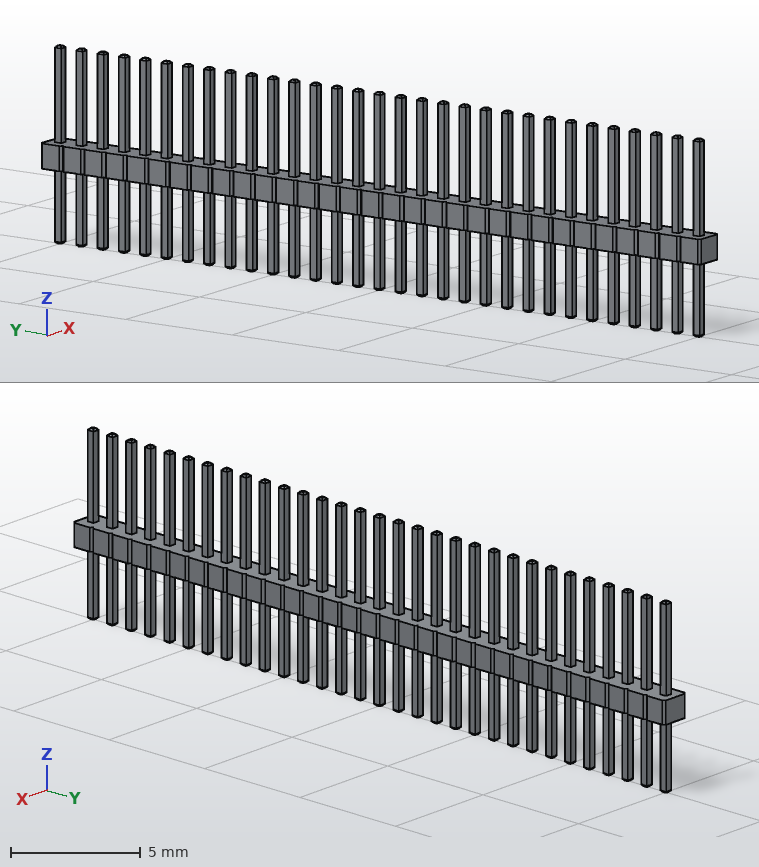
import cadquery as cq

pin_count = 31
row_length = 31.0
pitch = row_length / pin_count
housing_width = 1.27
housing_height = pitch
corner_chamfer = 0.1

pin_width = 0.3
pin_length = 7.8
pin_below = 3 * pitch
tip_chamfer = 0.078

pin_places = [(0, (i - (pin_count - 1) / 2) * pitch) for i in range(pin_count)]


def make_housing():
    """Bar with chamfered end corners and V grooves between neighbouring blocks."""
    half_width = housing_width / 2
    half_pitch = pitch / 2
    right_side = []
    for _, y in pin_places:
        right_side += [
            (half_width - corner_chamfer, y - half_pitch),
            (half_width, y - half_pitch + corner_chamfer),
            (half_width, y + half_pitch - corner_chamfer),
        ]
    right_side.append((half_width - corner_chamfer, row_length / 2))
    left_side = [(-x, y) for x, y in reversed(right_side)]
    return cq.Workplane("XY").polyline(right_side + left_side).close().extrude(housing_height)


def make_pin():
    """One pin on the Z axis, its height measured from the underside of the housing."""
    return (
        cq.Workplane("XY")
        .workplane(offset=-pin_below)
        .rect(pin_width, pin_width)
        .extrude(pin_length)
        .faces("<Z or >Z")
        .chamfer(tip_chamfer)
    )


result = make_housing()
pin = make_pin()
for x, y in pin_places:
    result = result.union(pin.translate((x, y, 0)))